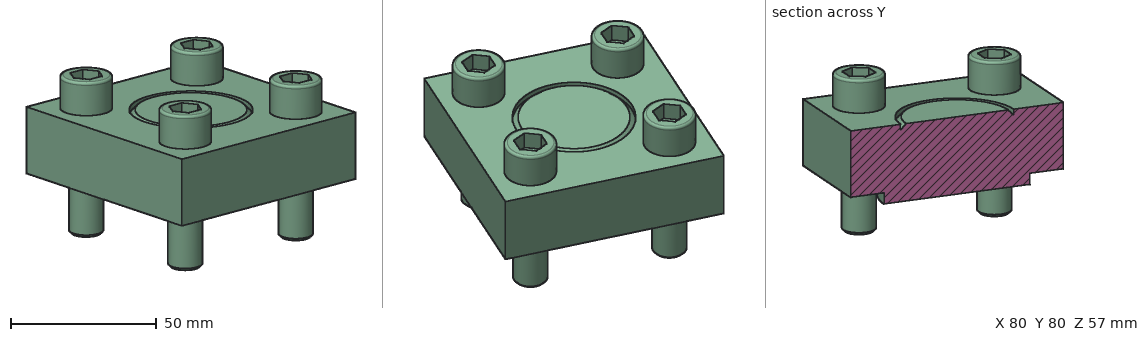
import cadquery as cq
import math

plate_side = 80.0
plate_thickness = 24.0

spigot_diameter = 55.0
spigot_height = 4.0

groove_outer_diameter = 42.4
groove_inner_diameter = 38.4
groove_depth = 2.0

bolt_circle_diameter = 72.0
screw_spacing = bolt_circle_diameter / math.sqrt(2)
shank_diameter = 12.0
shank_length = 45.0
shank_chamfer = 1.1
head_diameter = 18.0
head_height = 12.0
head_fillet = 1.0
socket_across_flats = 10.0
socket_depth = 6.0


def make_plate():
    """Square plate with the spigot below it."""
    plate = cq.Workplane("XY").box(
        plate_side, plate_side, plate_thickness, centered=(True, True, False)
    )
    spigot = cq.Workplane("XY").circle(spigot_diameter / 2).extrude(-spigot_height)
    return plate.union(spigot)


def make_groove():
    """Ring of triangular section that cuts the groove in the top face."""
    outer_radius = groove_outer_diameter / 2
    inner_radius = groove_inner_diameter / 2
    groove_bottom = plate_thickness - groove_depth
    return (
        cq.Workplane("XZ")
        .moveTo(inner_radius, plate_thickness)
        .lineTo(outer_radius, plate_thickness)
        .lineTo(outer_radius, groove_bottom)
        .close()
        .revolve(360, (0, 0, 0), (0, 1, 0))
    )


def make_screw():
    """Cap screw on the Z axis with its head seated on the plate."""
    seat = cq.Workplane("XY").workplane(offset=plate_thickness)
    shank = (
        seat.circle(shank_diameter / 2)
        .extrude(-shank_length)
        .faces("<Z")
        .chamfer(shank_chamfer)
    )
    head = (
        seat.circle(head_diameter / 2)
        .extrude(head_height)
        .faces(">Z")
        .edges()
        .fillet(head_fillet)
    )
    across_corners = socket_across_flats / math.cos(math.radians(30))
    socket = (
        cq.Workplane("XY")
        .polygon(6, across_corners)
        .extrude(-socket_depth)
        .rotate((0, 0, 0), (0, 0, 1), 90)
        .translate((0, 0, plate_thickness + head_height))
    )
    return shank.union(head).cut(socket)


result = make_plate().cut(make_groove())
screw = make_screw()
for x_side in (-1, 1):
    for y_side in (-1, 1):
        screw_x = x_side * screw_spacing / 2
        screw_y = y_side * screw_spacing / 2
        result = result.union(screw.translate((screw_x, screw_y, 0)))